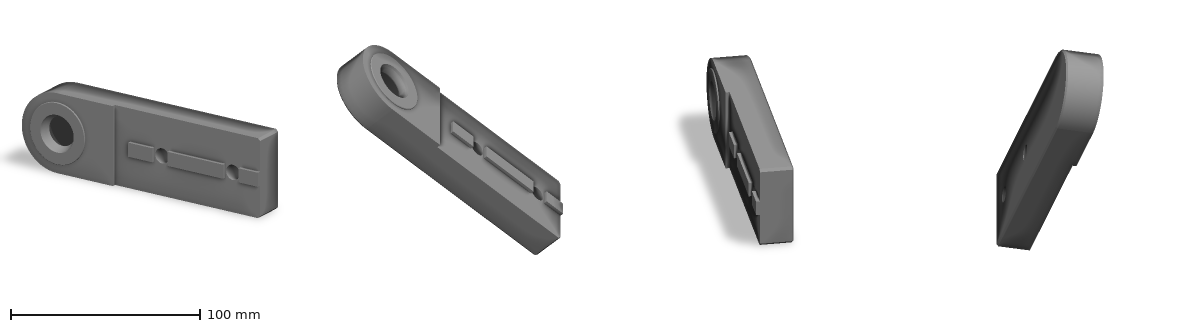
import cadquery as cq

length = 150.0
width = 45.0
total_depth = 21.0
bushing_rise = 0.8
step_x = 57.9
step_depth = 2.1
end_radius = width / 2
back_chamfer = 0.9
corner_chamfer = 1.4

key_start_x = 67.6
key_height = 8.0
key_gap = 9.8
screw_hole_xs = (87.8, 132.8)
screw_hole_diameter = 8.5

bushing_x = 23.0
bushing_diameter = 35.0
bushing_depth = 5.1
bushing_chamfer = 0.3
cavity_diameter = 32.5
cavity_floor_y = 17.2
bore_mouth_diameter = 21.2
bore_throat_diameter = 20.2
bore_neck_diameter = 16.6
throat_y = 1.4
neck_y = 4.6


def block(x_start, x_end, y_start, y_end, height):
    """Box centred on Z = 0 between the given X and Y limits."""
    return cq.Workplane("XY").box(
        x_end - x_start, y_end - y_start, height, centered=(False, False, True)
    ).translate((x_start, y_start, 0))


def y_cylinder(x, diameter, y_start, y_end):
    """Cylinder along +Y, centred on Z = 0."""
    return cq.Workplane(cq.Solid.makeCylinder(
        diameter / 2, y_end - y_start, cq.Vector(x, y_start, 0), cq.Vector(0, 1, 0)
    ))


def make_arm():
    pad_y = bushing_rise
    floor_y = pad_y + step_depth

    plate = y_cylinder(end_radius, width, pad_y, total_depth)
    bar = block(end_radius, length, pad_y, total_depth, width)
    bar = bar.edges("|Y and >X").chamfer(corner_chamfer)
    arm = plate.union(bar).faces(">Y").edges().chamfer(back_chamfer)

    arm = arm.cut(block(step_x, length, pad_y, floor_y, width))

    starts = [key_start_x] + [x + key_gap / 2 for x in screw_hole_xs]
    ends = [x - key_gap / 2 for x in screw_hole_xs] + [length]
    for start, end in zip(starts, ends):
        arm = arm.union(block(start, end, pad_y, floor_y, key_height))

    for x in screw_hole_xs:
        arm = arm.cut(y_cylinder(x, screw_hole_diameter, 0, total_depth))

    arm = arm.cut(y_cylinder(bushing_x, bushing_diameter, 0, bushing_depth))
    return arm.cut(y_cylinder(bushing_x, cavity_diameter, bushing_depth, cavity_floor_y))


def make_bushing():
    ring = y_cylinder(bushing_x, bushing_diameter, 0, bushing_depth)
    ring = ring.faces("<Y").edges().chamfer(bushing_chamfer)

    bore = (
        cq.Workplane("XY")
        .polyline([
            (0, 0),
            (bore_mouth_diameter / 2, 0),
            (bore_throat_diameter / 2, throat_y),
            (bore_neck_diameter / 2, neck_y),
            (bore_neck_diameter / 2, bushing_depth),
            (0, bushing_depth),
        ])
        .close()
        .revolve(360, (0, 0, 0), (0, 1, 0))
        .translate((bushing_x, 0, 0))
    )
    return ring.cut(bore)


arm = make_arm()
bushing = make_bushing()
result = cq.Compound.makeCompound([arm.val(), bushing.val()])